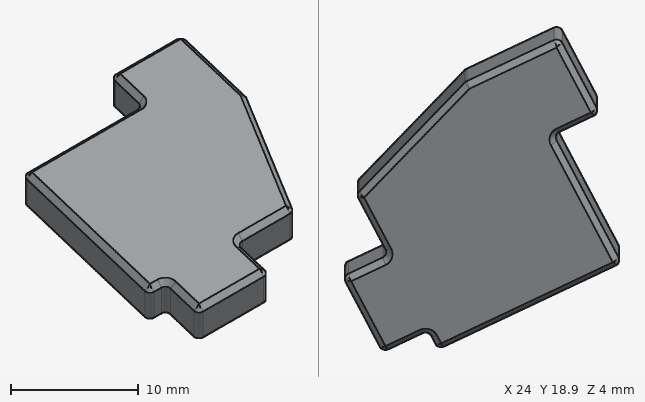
import cadquery as cq

length = 24.0
width = 18.85
thickness = 4.0

tab_reach = 4.0
tab_width = 7.0
tab_b_offset = 1.74

slope_start_x = 8.2
slope_end_y = 14.32

corner_radius = 0.5
chamfer = 0.5

body_left = tab_reach
body_right = length - tab_reach
tab_a_bottom = width - tab_width
tab_b_top = tab_b_offset + tab_width


def make_plate():
    """Sharp-cornered plate with both tabs and the sloped edge."""
    outline = [
        (body_left, 0),
        (body_right, 0),
        (body_right, tab_b_offset),
        (length, tab_b_offset),
        (length, tab_b_top),
        (body_right, tab_b_top),
        (body_right, slope_end_y),
        (slope_start_x, width),
        (0, width),
        (0, tab_a_bottom),
        (body_left, tab_a_bottom),
    ]
    return cq.Workplane("XY").polyline(outline).close().extrude(thickness)


def soften_edges(plate):
    """Round every upright corner, then chamfer the top and bottom rims."""
    rounded = plate.edges("|Z").fillet(corner_radius)
    return rounded.faces("<Z or >Z").edges().chamfer(chamfer)


result = soften_edges(make_plate())